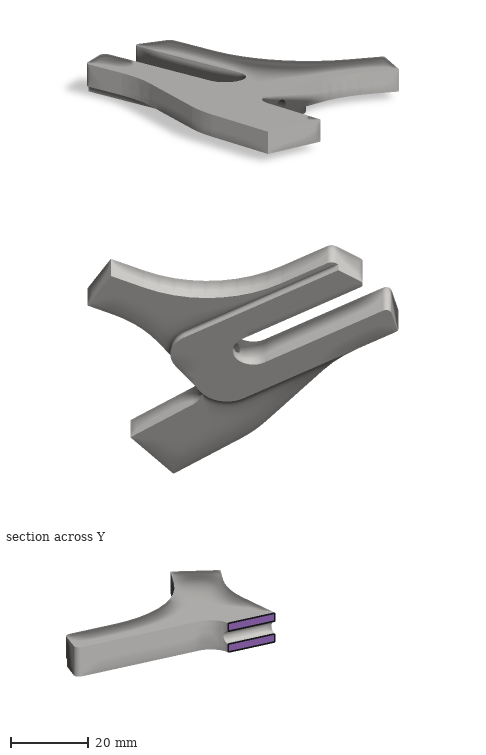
import cadquery as cq
import math

length = 84.1
total_height = 8.0
plate_thickness = 6.0
pad_height = total_height - plate_thickness

fork_half_width = 16.0
slot_half_width = 5.4
slot_end_x = 43.3
slot_center_x = slot_end_x - slot_half_width
tip_angle = math.radians(20)
tip_inner_radius = 1.4
tip_outer_radius = 2.0

back_x = 58.0
pad_half_width = 14.05
pad_corner_radius = 8.0
hole_diameter = 3.4

upper_angle = math.radians(61)
upper_width = 12.95
upper_end_x = 54.15
upper_end_y = 42.5
upper_front_radius = 35.0
upper_back_radius = 30.0

lower_angle = math.radians(-5)
lower_width = 18.0
lower_end_y = -12.5
lower_inner_radius = 6.0

slope_start_x = 22.45
slope_angle = math.radians(-20)
slope_radius = 35.0


def line_crossing(p, p_angle, q, q_angle):
    """Crossing of two lines, each given by a point and its direction."""
    dx = q[0] - p[0]
    dy = q[1] - p[1]
    distance = (dx * math.sin(q_angle) - dy * math.cos(q_angle)) / math.sin(q_angle - p_angle)
    return p[0] + distance * math.cos(p_angle), p[1] + distance * math.sin(p_angle)


def rounded_prism(corners, height):
    """Extrude a closed outline of (point, corner radius) pairs; zero radius stays sharp."""
    stretches = []
    for i, (point, radius) in enumerate(corners):
        corner = cq.Vector(*point)
        if radius == 0:
            stretches.append([corner])
            continue
        to_previous = (cq.Vector(*corners[i - 1][0]) - corner).normalized()
        to_next = (cq.Vector(*corners[(i + 1) % len(corners)][0]) - corner).normalized()
        half_angle = to_previous.getAngle(to_next) / 2
        tangent_length = radius / math.tan(half_angle)
        middle_distance = radius / math.sin(half_angle) - radius
        bisector = (to_previous + to_next).normalized()
        stretches.append([
            corner + to_previous * tangent_length,
            corner + bisector * middle_distance,
            corner + to_next * tangent_length,
        ])
    outline = cq.Workplane("XY").moveTo(*stretches[0][0].toTuple()[:2])
    for i, stretch in enumerate(stretches):
        if i > 0:
            outline = outline.lineTo(stretch[0].x, stretch[0].y)
        if len(stretch) > 1:
            middle, end = stretch[1:]
            outline = outline.threePointArc((middle.x, middle.y), (end.x, end.y))
    return outline.close().extrude(height)


tip_inner_x = tip_inner_radius * (1 - math.tan((math.pi / 2 + tip_angle) / 2))


def tip_x(y):
    """X of the slanted fork tip at a distance y from the slot axis."""
    return tip_inner_x + (y - slot_half_width) * math.tan(tip_angle)


def make_plate():
    upper_front = (upper_end_x, upper_end_y)
    upper_back = (
        upper_end_x + upper_width * math.sin(upper_angle),
        upper_end_y - upper_width * math.cos(upper_angle),
    )
    lower_top = (length, lower_end_y)
    lower_bottom = (
        length + lower_width * math.sin(lower_angle),
        lower_end_y - lower_width * math.cos(lower_angle),
    )
    fork_tip_x = tip_x(fork_half_width)
    fork_top = (fork_tip_x, fork_half_width)
    fork_bottom = (fork_tip_x, -fork_half_width)
    slope_start = (slope_start_x, -fork_half_width)
    back = (back_x, 0)
    upward = math.pi / 2
    corners = [
        ((tip_inner_x, slot_half_width), tip_inner_radius),
        (fork_top, tip_outer_radius),
        (line_crossing(fork_top, 0, upper_front, upper_angle), upper_front_radius),
        (upper_front, 0),
        (upper_back, 0),
        (line_crossing(back, upward, upper_back, upper_angle), upper_back_radius),
        (line_crossing(back, upward, lower_top, lower_angle), lower_inner_radius),
        (lower_top, 0),
        (lower_bottom, 0),
        (line_crossing(slope_start, slope_angle, lower_bottom, lower_angle), slope_radius),
        (slope_start, slope_radius),
        (fork_bottom, tip_outer_radius),
        ((tip_inner_x, -slot_half_width), tip_inner_radius),
        ((slot_center_x, -slot_half_width), 0),
        ((slot_center_x, slot_half_width), 0),
    ]
    return rounded_prism(corners, plate_thickness).translate((0, 0, pad_height))


def make_pad():
    pad_tip_x = tip_x(pad_half_width)
    corners = [
        ((tip_inner_x, slot_half_width), tip_inner_radius),
        ((pad_tip_x, pad_half_width), 0),
        ((back_x, pad_half_width), pad_corner_radius),
        ((back_x, -pad_half_width), pad_corner_radius),
        ((pad_tip_x, -pad_half_width), 0),
        ((tip_inner_x, -slot_half_width), tip_inner_radius),
        ((slot_center_x, -slot_half_width), 0),
        ((slot_center_x, slot_half_width), 0),
    ]
    return rounded_prism(corners, pad_height)


slot_end = (
    cq.Workplane("XY")
    .center(slot_center_x, 0)
    .circle(slot_half_width)
    .extrude(total_height)
)

cross_hole = (
    cq.Workplane("YZ", origin=(slot_center_x, 0, total_height / 2))
    .circle(hole_diameter / 2)
    .extrude(length - slot_center_x)
)

result = make_plate().union(make_pad()).cut(slot_end).cut(cross_hole)